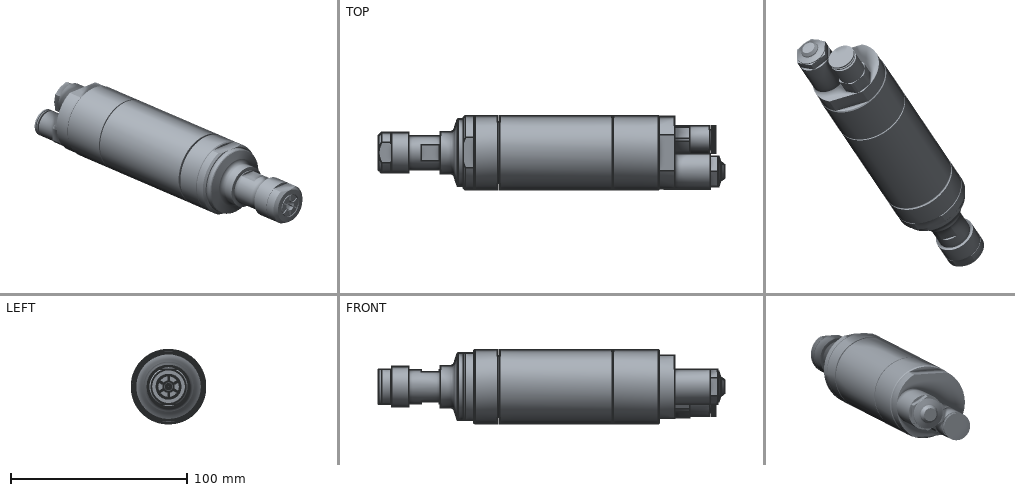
import cadquery as cq
import math

total_length = 196.5
cut_margin = 2.0

nut_diameter = 23.0
nut_flat_width = 19.8
nut_front_chamfer = 1.8
nut_groove_start = 6.9
nut_flat_end = 7.5
nut_groove_depth = 0.2
nut_end = 17.3
nut_opening_diameter = 13.7
collet_gap = 0.5
collet_diameter = nut_opening_diameter - 2 * collet_gap
collet_gap_depth = 0.8
collet_bore_diameter = 6.0
collet_bore_depth = 7.9
tool_hole_diameter = 3.1
tool_hole_depth = 8.8
pilot_hole_diameter = 1.6
pilot_hole_depth = 11.8
collet_slot_width = 0.5
collet_slot_depth = 4.0
collet_slot_count = 6

shaft_diameter = 19.5
shaft_flat_width = 17.0
shaft_flat_start = 24.4
shaft_flat_end = 34.5
shaft_end = 35.2

neck_diameter = 24.0
neck_end = 41.0
flare_round = 2.2
flare_front = 43.2
cover_diameter = 38.3
cover_start = 45.2
cover_edge_chamfer = 0.4
cover_end = 48.1

housing_diameter = 42.0
front_chamfer_diameter = 39.9
front_chamfer_length = 1.2
housing_flat_width = 38.3
housing_flat_end = 54.2
housing_end = 159.3
housing_end_chamfer = 0.5
joint_grooves = ((67.5, 1.4, 35.0), (132.5, 0.8, 40.0))

plate_diameter = 41.2
plate_flat_width = 36.0
plate_end = 168.1

gland_y = -10.6
gland_diameter = 20.0
gland_body_end = 188.4
gland_hex_end = 192.5
gland_cap_diameter = 17.3
gland_cap_end = 193.0
gland_nipple = ((194.3, 10.5), (194.8, 10.0), (195.5, 9.0), (total_length, 7.5))

fitting_y = 7.5
fitting_z = -9.0
fitting_hex_width = 16.0
fitting_hex_corner_diameter = 17.5
fitting_hex_end = 176.5
fitting_diameter = 15.7
fitting_body_end = 188.0
fitting_neck_diameter = 11.4
fitting_ring_start = 189.2
fitting_ring_end = 191.3
fitting_groove_diameter = 14.5
fitting_groove_start = 189.7
fitting_groove_width = 0.5


def rod(diameter, start, end, y=0, z=0):
    """Cylinder along X."""
    return cq.Workplane("YZ", origin=(start, y, z)).circle(diameter / 2).extrude(end - start)


def cone(start_diameter, end_diameter, start, end, y=0):
    """Tapered round section along X."""
    section = cq.Workplane("YZ", origin=(start, y, 0)).circle(start_diameter / 2)
    return section.workplane(offset=end - start).circle(end_diameter / 2).loft(ruled=True)


def hexagon(width, start, end, y, z=0):
    """Hexagonal prism along X, width across flats, with two corners pointing up and down."""
    corner_diameter = width / math.cos(math.pi / 6)
    prism = cq.Workplane("YZ", origin=(start, y, z)).polygon(6, corner_diameter).extrude(end - start)
    return prism.rotate((0, y, z), (1, y, z), 90)


def ring_groove(outer_diameter, inner_diameter, start, width, y=0, z=0):
    """Ring of material to remove along X."""
    end = start + width
    return rod(outer_diameter, start, end, y, z).cut(rod(inner_diameter, start, end, y, z))


def cut_flats(body, diameter, width, start, end):
    """Mill two flats, facing up and down, into a round section."""
    length = end - start
    slab = cq.Workplane("XY").box(length, diameter + 2 * cut_margin, width, centered=(False, True, True))
    waste = rod(diameter + cut_margin, start, end).cut(slab.translate((start, 0, 0)))
    return body.cut(waste)


def collet_nut():
    nut = rod(nut_diameter, 0, nut_end).faces("<X").edges().chamfer(nut_front_chamfer)
    nut = cut_flats(nut, nut_diameter, nut_flat_width, 0, nut_flat_end)
    nut = nut.cut(ring_groove(nut_diameter + cut_margin, nut_diameter - 2 * nut_groove_depth,
                              nut_groove_start, nut_flat_end - nut_groove_start))
    nut = nut.cut(ring_groove(nut_opening_diameter, collet_diameter, 0, collet_gap_depth))
    nut = nut.cut(rod(collet_bore_diameter, 0, collet_bore_depth))
    nut = nut.cut(rod(tool_hole_diameter, 0, tool_hole_depth))
    nut = nut.cut(rod(pilot_hole_diameter, 0, pilot_hole_depth))
    slot = cq.Workplane("XY").box(collet_slot_depth, collet_slot_width, collet_diameter / 2,
                                  centered=(False, True, False))
    for i in range(collet_slot_count):
        nut = nut.cut(slot.rotate((0, 0, 0), (1, 0, 0), i * 360 / collet_slot_count))
    return nut


def shaft():
    body = rod(shaft_diameter, nut_end, shaft_end)
    return cut_flats(body, shaft_diameter, shaft_flat_width, shaft_flat_start, shaft_flat_end)


def front_cover():
    neck_radius = neck_diameter / 2
    cover_radius = cover_diameter / 2
    profile = (
        cq.Workplane("XY")
        .moveTo(shaft_end, 0)
        .lineTo(shaft_end, neck_radius)
        .lineTo(neck_end, neck_radius)
        .tangentArcPoint((flare_front, neck_radius + flare_round), relative=False)
        .lineTo(cover_start - cover_edge_chamfer, cover_radius - cover_edge_chamfer)
        .lineTo(cover_start, cover_radius)
        .lineTo(cover_end, cover_radius)
        .lineTo(cover_end, 0)
        .close()
    )
    return profile.revolve(360, (0, 0, 0), (1, 0, 0))


def housing():
    straight_start = cover_end + front_chamfer_length
    body = cone(front_chamfer_diameter, housing_diameter, cover_end, straight_start)
    body = body.union(rod(housing_diameter, straight_start, housing_flat_end))
    body = cut_flats(body, housing_diameter, housing_flat_width, cover_end, housing_flat_end)
    sleeve = rod(housing_diameter, housing_flat_end, housing_end)
    body = body.union(sleeve.faces("<X or >X").edges().chamfer(housing_end_chamfer))
    for start, width, floor_diameter in joint_grooves:
        body = body.cut(ring_groove(housing_diameter + cut_margin, floor_diameter, start, width))
    return body


def rear_plate():
    plate = rod(plate_diameter, housing_end, plate_end)
    return cut_flats(plate, plate_diameter, plate_flat_width, housing_end, plate_end)


def cable_gland():
    hex_width = gland_diameter * math.cos(math.pi / 6)
    gland = rod(gland_diameter, plate_end, gland_body_end, gland_y)
    gland = gland.union(hexagon(hex_width, gland_body_end, gland_hex_end, gland_y))
    gland = gland.union(rod(gland_cap_diameter, gland_hex_end, gland_cap_end, gland_y))
    start, start_diameter = gland_cap_end, gland_cap_diameter
    for end, end_diameter in gland_nipple:
        gland = gland.union(cone(start_diameter, end_diameter, start, end, gland_y))
        start, start_diameter = end, end_diameter
    return gland


def hose_fitting():
    place = (fitting_y, fitting_z)
    fitting = hexagon(fitting_hex_width, plate_end, fitting_hex_end, *place)
    fitting = fitting.intersect(rod(fitting_hex_corner_diameter, plate_end, fitting_hex_end, *place))
    fitting = fitting.union(rod(fitting_diameter, fitting_hex_end, fitting_body_end, *place))
    fitting = fitting.union(rod(fitting_neck_diameter, fitting_body_end, fitting_ring_start, *place))
    fitting = fitting.union(rod(fitting_diameter, fitting_ring_start, fitting_ring_end, *place))
    return fitting.cut(ring_groove(fitting_diameter + cut_margin, fitting_groove_diameter,
                                   fitting_groove_start, fitting_groove_width, *place))


result = collet_nut()
for piece in (shaft(), front_cover(), housing(), rear_plate(), cable_gland(), hose_fitting()):
    result = result.union(piece)